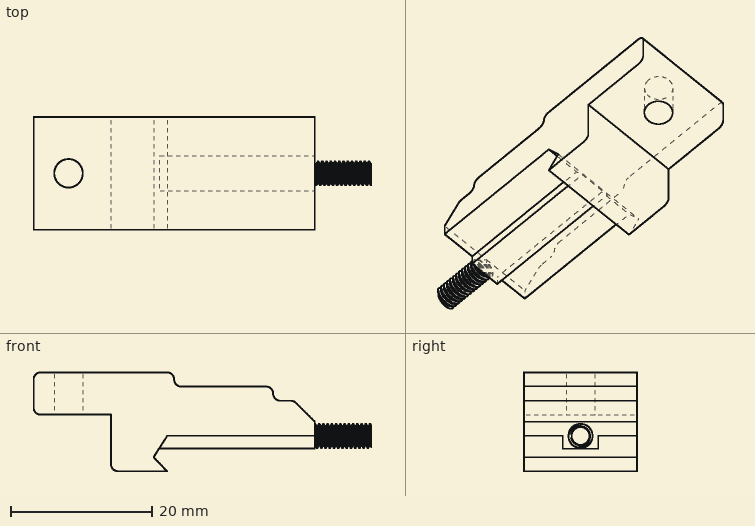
import cadquery as cq

block_length = 39.8
block_width = 16.0
block_height = 14.0
edge_radius = 1.0

nose_length = 10.95
nose_bottom_z = 8.0
foot_tip_x = 18.9
notch_x = 17.0
notch_z = 2.0
underside_z = 5.0

step_height = 2.0
step_radius = step_height / 2
first_step_x = 19.9
second_step_x = 33.9
end_face_top_z = 7.0

hole_diameter = 4.0
hole_x = 4.95

stud_z = underside_z
stud_core_radius = 2.73 / 2
thread_radius = 3.42 / 2
thread_pitch = 0.6
thread_root_width = thread_pitch * 3 / 4
thread_crest_width = thread_pitch / 8
thread_root_overlap = 0.1
stud_length = 8.0
rib_bottom_z = 3.2
rib_width = 5.0


def make_block():
    """Side outline of the block, extruded over the width and rounded."""
    middle_z = block_height - step_height
    low_z = middle_z - step_height
    slope_run = low_z - end_face_top_z

    def s_step(outline, centre_x, upper_z):
        """Convex then concave quarter arc, one step height down."""
        centre_z = upper_z - step_radius
        return (
            outline.lineTo(centre_x - step_radius, upper_z)
            .radiusArc((centre_x, centre_z), step_radius)
            .radiusArc((centre_x + step_radius, upper_z - step_height), -step_radius)
        )

    outline = cq.Workplane("XZ", origin=(0, block_width / 2, 0)).moveTo(0, block_height)
    outline = s_step(outline, first_step_x, block_height)
    outline = s_step(outline, second_step_x, middle_z)
    block = (
        outline.lineTo(block_length - slope_run, low_z)
        .lineTo(block_length, end_face_top_z)
        .lineTo(block_length, underside_z)
        .lineTo(foot_tip_x, underside_z)
        .lineTo(notch_x, notch_z)
        .lineTo(foot_tip_x, 0)
        .lineTo(nose_length, 0)
        .lineTo(nose_length, nose_bottom_z)
        .lineTo(0, nose_bottom_z)
        .close()
        .extrude(block_width)
    )
    rounded_corners = [
        (0, block_height),
        (0, nose_bottom_z),
        (nose_length, 0),
        (block_length - slope_run, low_z),
    ]
    for x, z in rounded_corners:
        corner = cq.selectors.NearestToPointSelector((x, 0, z))
        block = block.edges(corner).fillet(edge_radius)
    return block


def cut_hole(block):
    """Vertical through hole in the nose."""
    drill = cq.Workplane("XY").center(hole_x, 0).circle(hole_diameter / 2).extrude(block_height)
    return block.cut(drill)


def make_rib():
    """Rib along the middle of the underside, starting on the notch's upper slope."""
    slope_run_per_rise = (foot_tip_x - notch_x) / (underside_z - notch_z)
    rib_start_x = notch_x + (rib_bottom_z - notch_z) * slope_run_per_rise
    return (
        cq.Workplane("XZ", origin=(0, rib_width / 2, 0))
        .moveTo(rib_start_x, rib_bottom_z)
        .lineTo(block_length, rib_bottom_z)
        .lineTo(block_length, underside_z)
        .lineTo(foot_tip_x, underside_z)
        .close()
        .extrude(rib_width)
    )


def make_stud():
    """Core with a right-hand thread, built along Z and then laid along X."""
    core = cq.Workplane("XY").circle(stud_core_radius).extrude(stud_length)
    helix_length = stud_length + thread_pitch / 2
    helix = cq.Workplane(cq.Wire.makeHelix(thread_pitch, helix_length, stud_core_radius))
    buried_radius = stud_core_radius - thread_root_overlap
    tooth = (
        cq.Workplane("XZ")
        .moveTo(buried_radius, -thread_root_width / 2)
        .lineTo(stud_core_radius, -thread_root_width / 2)
        .lineTo(thread_radius, -thread_crest_width / 2)
        .lineTo(thread_radius, thread_crest_width / 2)
        .lineTo(stud_core_radius, thread_root_width / 2)
        .lineTo(buried_radius, thread_root_width / 2)
        .close()
    )
    thread = tooth.sweep(helix, isFrenet=True)
    beyond_tip = (
        cq.Workplane("XY", origin=(0, 0, stud_length))
        .circle(thread_radius + thread_pitch)
        .extrude(2 * thread_pitch)
    )
    stud = core.union(thread.cut(beyond_tip))
    stud = stud.rotate((0, 0, 0), (0, 0, 1), 180)
    return stud.rotate((0, 0, 0), (0, 1, 0), 90).translate((block_length, 0, stud_z))


result = cut_hole(make_block()).union(make_rib()).union(make_stud())